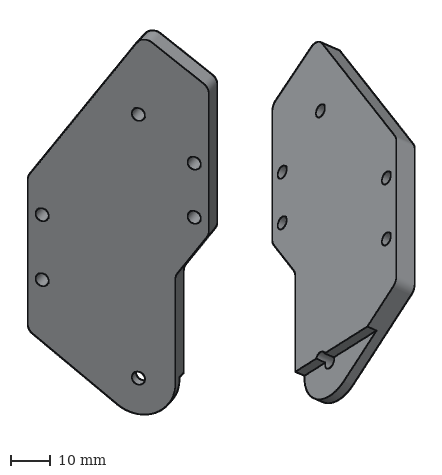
import cadquery as cq
import math

thickness = 6.0
lap_thickness = thickness / 2
lap_height = 10.6

tip_radius = 10.0
corner_radius = 3.1
hole_diameter = 3.5

left_x = -30.0
right_x = 19.0
neck_x = tip_radius

left_bottom_z = 8.5
left_top_z = 51.0
apex_x = 1.1
apex_z = 95.2
right_top_z = 83.5
right_bottom_z = 42.8
neck_top_z = 30.0

edge_distance = 4.0
upper_pivot_z = 73.0
left_hole_heights = (23.0, 41.0)
right_hole_heights = (47.0, 62.0)


def tip_point(angle):
    """Point on the rounded tip at an angle measured from +X."""
    return (tip_radius * math.cos(angle), tip_radius * math.sin(angle))


def make_plate():
    """Full-thickness plate whose lower left edge runs tangent into the rounded tip."""
    corner_distance = math.hypot(left_x, left_bottom_z)
    corner_angle = math.atan2(left_bottom_z, left_x)
    tangent_angle = corner_angle + math.acos(tip_radius / corner_distance)
    plate = (
        cq.Workplane("XZ")
        .moveTo(neck_x, 0)
        .lineTo(neck_x, neck_top_z)
        .lineTo(right_x, right_bottom_z)
        .lineTo(right_x, right_top_z)
        .lineTo(apex_x, apex_z)
        .lineTo(left_x, left_top_z)
        .lineTo(left_x, left_bottom_z)
        .lineTo(*tip_point(tangent_angle))
        .threePointArc((0, -tip_radius), (neck_x, 0))
        .close()
        .extrude(-thickness)
    )
    margin = 1
    corners = cq.selectors.BoxSelector(
        (left_x - margin, -margin, left_bottom_z - margin),
        (right_x + margin, thickness + margin, apex_z + margin),
    )
    return plate.edges("|Y").edges(corners).fillet(corner_radius)


def make_lap_cut():
    """Block that thins the back of the lower end across its full width."""
    return cq.Workplane("XY").box(
        right_x - left_x, thickness - lap_thickness, lap_height, centered=False
    ).translate((left_x, lap_thickness, -tip_radius))


def make_holes():
    """Through holes: two pivots, one above the other, and a pair along each side."""
    centres = [(0, 0), (0, upper_pivot_z)]
    centres += [(left_x + edge_distance, z) for z in left_hole_heights]
    centres += [(right_x - edge_distance, z) for z in right_hole_heights]
    return cq.Workplane("XZ").pushPoints(centres).circle(hole_diameter / 2).extrude(-thickness)


result = make_plate().cut(make_lap_cut()).cut(make_holes())